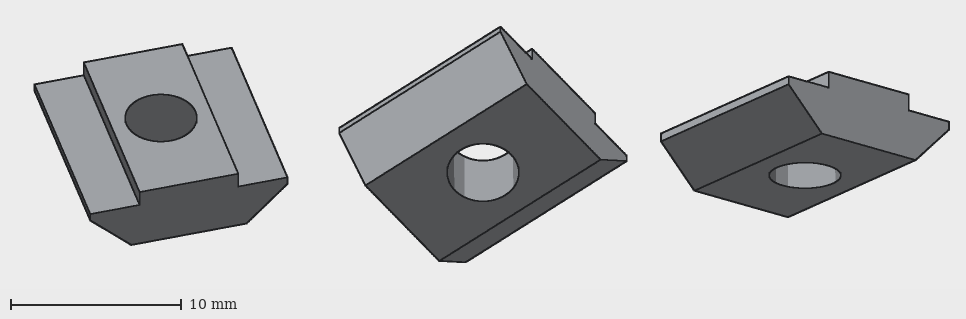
import cadquery as cq

length = 12.0
width = 12.0
height = 4.0

rib_width = width / 2
rib_height = 1.0
wing_edge_height = 0.5
hole_diameter = 4.2

wing_top = height - rib_height
flank_rise = wing_top - wing_edge_height
half_width = width / 2
half_base = half_width - flank_rise
half_rib = rib_width / 2


def make_body():
    """Extrude the symmetric T-nut section along X, centred on the origin."""
    half_section = [
        (half_base, 0),
        (half_width, flank_rise),
        (half_width, wing_top),
        (half_rib, wing_top),
        (half_rib, height),
    ]
    mirrored_half = [(-y, z) for y, z in reversed(half_section)]
    section = cq.Workplane("YZ").polyline(half_section + mirrored_half).close()
    return section.extrude(length / 2, both=True)


def make_hole():
    """Vertical through hole at the centre of the nut."""
    return cq.Workplane("XY").circle(hole_diameter / 2).extrude(height)


result = make_body().cut(make_hole())